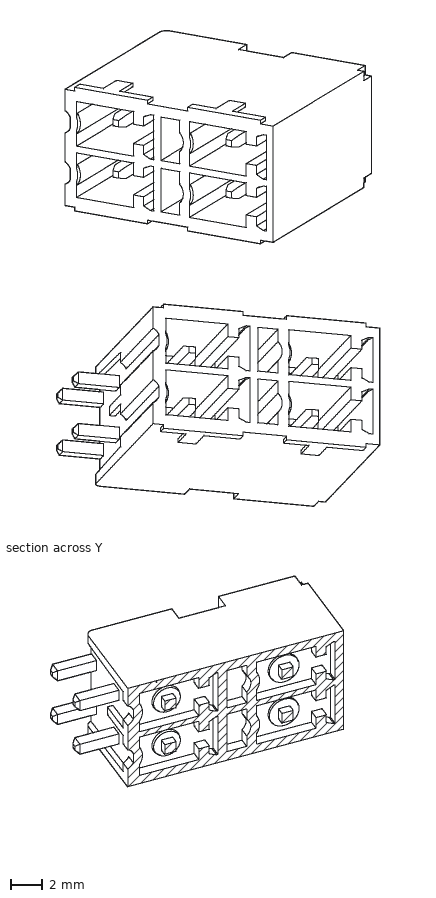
import cadquery as cq
import math


WIDTH = 15.2
DEPTH = 13.3
HEIGHT = 7.9
HALF_HEIGHT = HEIGHT / 2
BACK_CORNER_RADIUS = 0.5

COLUMN_PITCH = 8.25
ROW_PITCH = 3.49
COLUMN_OFFSETS = (0, COLUMN_PITCH)
ROW_HEIGHTS = (-ROW_PITCH / 2, ROW_PITCH / 2)

PAD_THICKNESS = 0.25
PAD_LEFT = 0.71
PAD_WIDTH = 5.32
PAD_BAR_DEPTH = 0.71
PAD_STEM_LEFT = 2.42
PAD_STEM_WIDTH = 1.2
PAD_STEM_END = 2.5

CAVITY_DEPTH = 7.35
CAVITY_LEFT = 0.85
CAVITY_HEIGHT = 3.03
NECK_LEFT = 5.0
NECK_RIGHT = 5.75
NECK_HEIGHT = 1.32
LATCH_LEFT_HEIGHT = 2.55
LATCH_SLOPE_END = 6.25
LATCH_RIGHT_BACK = 6.34
LATCH_RIGHT_FRONT = 6.48
LATCH_LEAD_IN = 0.5

SLOT_LEFT = 7.01
SLOT_RIGHT = 8.37
SLOT_HEIGHT = 2.95
SLOT_BULGE = 0.28
SLOT_BULGE_HEIGHT = 1.28

GROOVE_DEPTH = 0.4
GROOVE_HEIGHT = 1.53
GROOVE_RADIUS = 0.85
RIDGE_RISE = 0.21
RIDGE_RADIUS = 1.23
RIDGE_CHAMFER = 0.12

RECESS_HALF_FRONT = 3.19
RECESS_HALF_BACK = 3.31
TAB_END = 9.83
TAB_HEIGHT = 0.6

NOTCH_LEFT = 6.09
NOTCH_WIDTH = 3.28
NOTCH_DEPTH = 1.1
CORNER_NOTCH_WIDTH = 0.46
CORNER_NOTCH_DEPTH = 1.05

PIN_SIZE = 0.8
PIN_X = 3.0
PIN_FRONT = 1.32
PIN_TAIL_END = -2.6
TAIL_DEPTHS = (9.3, 12.8)
FRONT_TIP_SIZE = 0.43
FRONT_TIP_LENGTH = 0.62
TAIL_TIP_SIZE = 0.32
TAIL_TIP_LENGTH = 0.25

BOSS_HEIGHT = 0.18
BOSS_RADII = ((0.98, 0.95), (1.05, 1.05))


def block(x_range, y_range, z_range):
    """Box between two limits on each axis."""
    size = [high - low for low, high in (x_range, y_range, z_range)]
    return cq.Workplane("XY").box(*size, centered=False).translate((x_range[0], y_range[0], z_range[0]))


def extrude_back(profile, length):
    """Extrude an XZ profile from the mating face toward the back."""
    return profile.extrude(-length)


def housing_block():
    body = block((0, WIDTH), (0, DEPTH), (-HALF_HEIGHT, HALF_HEIGHT))
    return body.edges("|Z and <X and >Y").fillet(BACK_CORNER_RADIUS)


def pads(column):
    """T-shaped pads of one column, on the top and bottom walls."""
    z_range = (-HALF_HEIGHT - PAD_THICKNESS, HALF_HEIGHT + PAD_THICKNESS)
    bar_left = column + PAD_LEFT
    stem_left = column + PAD_STEM_LEFT
    bar = block((bar_left, bar_left + PAD_WIDTH), (0, PAD_BAR_DEPTH), z_range)
    stem = block((stem_left, stem_left + PAD_STEM_WIDTH), (0, PAD_STEM_END), z_range)
    return bar.union(stem)


def cavity_ridge():
    """Cylinder with a chamfered front edge whose right side rises from the left wall of a cavity."""
    axis_x = CAVITY_LEFT + RIDGE_RISE - RIDGE_RADIUS
    cylinder = extrude_back(cq.Workplane("XZ").center(axis_x, 0).circle(RIDGE_RADIUS), CAVITY_DEPTH)
    return cylinder.faces("<Y").chamfer(RIDGE_CHAMFER)


def cavity(column, row):
    """Plug cavity joined by a neck to a latch pocket with a sloped lead-in on its right wall."""
    half = CAVITY_HEIGHT / 2
    neck = NECK_HEIGHT / 2
    latch = LATCH_LEFT_HEIGHT / 2
    profile = (
        cq.Workplane("XZ")
        .moveTo(CAVITY_LEFT, half)
        .lineTo(NECK_LEFT, half)
        .lineTo(NECK_LEFT, neck)
        .lineTo(NECK_RIGHT, neck)
        .lineTo(NECK_RIGHT, latch)
        .lineTo(LATCH_SLOPE_END, half)
        .lineTo(LATCH_RIGHT_BACK, half)
        .lineTo(LATCH_RIGHT_BACK, -half)
        .lineTo(LATCH_SLOPE_END, -half)
        .lineTo(NECK_RIGHT, -latch)
        .lineTo(NECK_RIGHT, -neck)
        .lineTo(NECK_LEFT, -neck)
        .lineTo(NECK_LEFT, -half)
        .lineTo(CAVITY_LEFT, -half)
        .close()
    )
    lead_in = (
        cq.Workplane("XY")
        .polyline([(LATCH_SLOPE_END, 0), (LATCH_RIGHT_FRONT, 0),
                   (LATCH_RIGHT_BACK, LATCH_LEAD_IN), (LATCH_SLOPE_END, LATCH_LEAD_IN)])
        .close()
        .extrude(half, both=True)
    )
    space = extrude_back(profile, CAVITY_DEPTH).union(lead_in).cut(cavity_ridge())
    return space.translate((column, 0, row))


def middle_slot(row):
    """Slot between the cavity columns, bulging into its right wall."""
    half = SLOT_HEIGHT / 2
    bulge = SLOT_BULGE_HEIGHT / 2
    profile = (
        cq.Workplane("XZ")
        .moveTo(SLOT_LEFT, -half)
        .lineTo(SLOT_RIGHT, -half)
        .lineTo(SLOT_RIGHT, -bulge)
        .threePointArc((SLOT_RIGHT + SLOT_BULGE, 0), (SLOT_RIGHT, bulge))
        .lineTo(SLOT_RIGHT, half)
        .lineTo(SLOT_LEFT, half)
        .close()
    )
    return extrude_back(profile, CAVITY_DEPTH).translate((0, 0, row))


def left_groove(row):
    """Cylindrical groove in the left wall, cut off by a flat floor."""
    half = GROOVE_HEIGHT / 2
    axis_x = -math.sqrt(GROOVE_RADIUS**2 - half**2)
    cylinder = extrude_back(cq.Workplane("XZ").center(axis_x, row).circle(GROOVE_RADIUS), CAVITY_DEPTH)
    keep = block((axis_x, GROOVE_DEPTH), (0, CAVITY_DEPTH), (row - half, row + half))
    return cylinder.intersect(keep)


def tail_recess():
    """Recess around the pin tails, slightly taller at the back, around a central tab."""
    recess = (
        cq.Workplane("YZ")
        .polyline([(CAVITY_DEPTH, -RECESS_HALF_FRONT), (DEPTH, -RECESS_HALF_BACK),
                   (DEPTH, RECESS_HALF_BACK), (CAVITY_DEPTH, RECESS_HALF_FRONT)])
        .close()
        .extrude(GROOVE_DEPTH)
    )
    tab = block((0, GROOVE_DEPTH), (CAVITY_DEPTH, TAB_END), (-TAB_HEIGHT / 2, TAB_HEIGHT / 2))
    return recess.cut(tab)


def back_notch():
    x_range = (NOTCH_LEFT, NOTCH_LEFT + NOTCH_WIDTH)
    return block(x_range, (DEPTH - NOTCH_DEPTH, DEPTH), (-HALF_HEIGHT, HALF_HEIGHT))


def corner_notches():
    """Notches at the right back corner, above and below the height of the tail recess."""
    x_range = (WIDTH - CORNER_NOTCH_WIDTH, WIDTH)
    y_range = (DEPTH - CORNER_NOTCH_DEPTH, DEPTH)
    upper = block(x_range, y_range, (RECESS_HALF_BACK, HALF_HEIGHT))
    return upper.union(upper.mirror("XY"))


def tip(plane, origin, base_size, end_size, length):
    """Square pin tip tapering along the plane's normal."""
    return (
        cq.Workplane(plane, origin=origin)
        .rect(base_size, base_size)
        .workplane(offset=length)
        .rect(end_size, end_size)
        .loft(ruled=True)
    )


def pin(column, row, tail_depth):
    """Pin running back from the cavity and then bent out through the left wall."""
    half = PIN_SIZE / 2
    x = column + PIN_X
    z_range = (row - half, row + half)
    front_base = PIN_FRONT + FRONT_TIP_LENGTH
    tail_base = PIN_TAIL_END + TAIL_TIP_LENGTH
    contact = block((x - half, x + half), (front_base, tail_depth + half), z_range)
    tail = block((tail_base, x + half), (tail_depth - half, tail_depth + half), z_range)
    front_tip = tip("XZ", (x, front_base, row), PIN_SIZE, FRONT_TIP_SIZE, FRONT_TIP_LENGTH)
    tail_tip = tip("ZY", (tail_base, tail_depth, row), PIN_SIZE, TAIL_TIP_SIZE, TAIL_TIP_LENGTH)
    return contact.union(tail).union(front_tip).union(tail_tip)


def boss(column, row, base_radius, top_radius):
    """Round boss on the cavity floor around a pin."""
    return (
        cq.Workplane("XZ", origin=(column + PIN_X, CAVITY_DEPTH, row))
        .circle(base_radius)
        .workplane(offset=BOSS_HEIGHT)
        .circle(top_radius)
        .loft(ruled=True)
    )


result = housing_block()
for column in COLUMN_OFFSETS:
    result = result.union(pads(column))

result = result.cut(tail_recess()).cut(back_notch()).cut(corner_notches())
for row in ROW_HEIGHTS:
    result = result.cut(left_groove(row)).cut(middle_slot(row))
    for column in COLUMN_OFFSETS:
        result = result.cut(cavity(column, row))

for row in ROW_HEIGHTS:
    for column, tail_depth, (base_radius, top_radius) in zip(COLUMN_OFFSETS, TAIL_DEPTHS, BOSS_RADII):
        result = result.union(boss(column, row, base_radius, top_radius))
        result = result.union(pin(column, row, tail_depth))